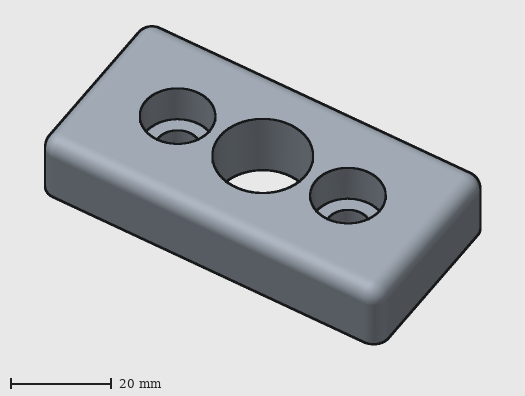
import cadquery as cq

length = 80.0
width = 40.0
height = 15.0
edge_radius = 3.5

bore_diameter = 20.0

screw_spacing = 40.0
screw_diameter = 9.0
head_diameter = 15.0
head_depth = 9.0


def rounded_block():
    """Block on Z = 0 with rounded vertical and top edges and a sharp bottom edge."""
    block = cq.Workplane("XY").box(length, width, height, centered=(True, True, False))
    return block.edges("|Z or >Z").fillet(edge_radius)


def add_central_bore(body):
    """Cut the through bore at the centre of the top face."""
    return body.faces(">Z").workplane(origin=(0, 0, height)).hole(bore_diameter)


def add_screw_holes(body):
    """Cut the two through holes with their flat-bottomed head recesses."""
    return (
        body.faces(">Z")
        .workplane(origin=(0, 0, height))
        .pushPoints([(side * screw_spacing / 2, 0) for side in (-1, 1)])
        .cboreHole(screw_diameter, head_diameter, head_depth)
    )


result = add_screw_holes(add_central_bore(rounded_block()))